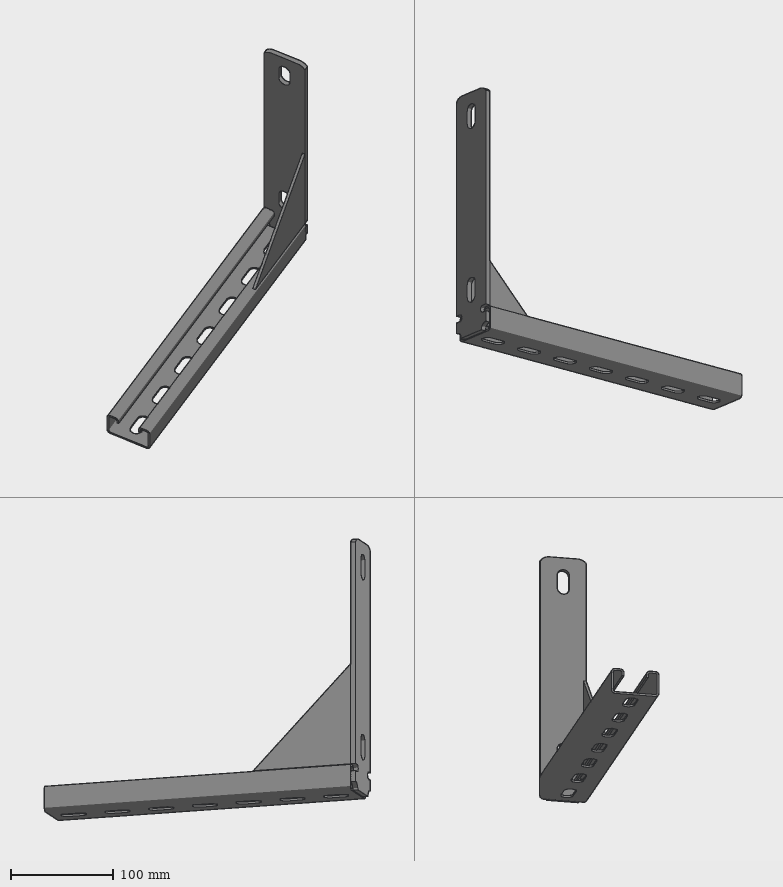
import cadquery as cq
import math

total_length = 320.0
total_height = 252.0

channel_width = 48.0
channel_height = 26.0
wall = 2.0
bend_radius = 4.0
opening_width = 22.0
lip_depth = 6.7

plate_thickness = 5.0
plate_inset = 1.0
top_corner_radius = 11.2
top_corner_width = 9.0
bottom_relief_radius = 7.0
side_notch_width = 7.0
side_notch_depth = 8.3

gusset_leg = 100.0
gusset_thickness = 3.0

slot_length = 25.3
slot_width = 12.0
channel_slot_count = 7
plate_slot_spacing = 180.0
plate_slot_margin = 25.0

channel_length = total_length - plate_thickness
channel_slot_pitch = channel_length / channel_slot_count
half_channel = channel_width / 2
half_opening = opening_width / 2
half_plate = half_channel - plate_inset
inner_bend_radius = bend_radius - wall


def fillet_edge(body, point, radius):
    """Round the one edge whose middle lies at the given point."""
    return body.edges(cq.selectors.NearestToPointSelector(point)).fillet(radius)


def make_channel():
    """Bent C-section with a row of slots through its floor."""
    lip_bottom = channel_height - lip_depth
    lip_outside = half_opening + wall
    inside_x = half_channel - wall
    inside_top = channel_height - wall

    outer_corners = [(half_channel, 0), (half_channel, channel_height), (half_opening, channel_height)]
    inner_corners = [(lip_outside, inside_top), (inside_x, inside_top), (inside_x, wall)]
    lip_end = [(half_opening, lip_bottom), (lip_outside, lip_bottom)]
    right_half = outer_corners + lip_end + inner_corners
    left_half = [(-x, z) for x, z in reversed(right_half)]
    body = cq.Workplane("XZ").polyline(right_half + left_half).close().extrude(-channel_length)

    for corners, radius in ((outer_corners, bend_radius), (inner_corners, inner_bend_radius)):
        for x, z in corners:
            for side in (-1, 1):
                body = fillet_edge(body, (side * x, channel_length / 2, z), radius)

    slots = (
        cq.Workplane("XY", origin=(0, channel_length / 2, 0))
        .rarray(3.2, channel_slot_pitch, 1, channel_slot_count)
        .slot2D(slot_length, slot_width, 90)
        .extrude(wall)
    )
    return body.cut(slots)


def plate_sketch_plane():
    """Workplane on the front face of the plate; extruding by a negative length goes into it."""
    return cq.Workplane("XZ", origin=(0, channel_length, 0))


def make_plate():
    """Upright plate with two slots, rounded top corners and cut-outs beside the channel bends."""
    flat_half = half_plate - top_corner_width
    side_angle = math.asin(top_corner_width / top_corner_radius)
    arc_center_z = total_height - top_corner_radius
    arc_middle = (
        flat_half + top_corner_radius * math.sin(side_angle / 2),
        arc_center_z + top_corner_radius * math.cos(side_angle / 2),
    )
    side_top = arc_center_z + top_corner_radius * math.cos(side_angle)

    body = (
        plate_sketch_plane()
        .moveTo(-half_plate, plate_inset)
        .lineTo(half_plate, plate_inset)
        .lineTo(half_plate, side_top)
        .threePointArc(arc_middle, (flat_half, total_height))
        .lineTo(-flat_half, total_height)
        .threePointArc((-arc_middle[0], arc_middle[1]), (-half_plate, side_top))
        .close()
        .extrude(-plate_thickness)
    )

    upper_slot_z = total_height - plate_slot_margin
    slots = (
        plate_sketch_plane()
        .pushPoints([(0, upper_slot_z), (0, upper_slot_z - plate_slot_spacing)])
        .slot2D(slot_length, slot_width, 90)
        .extrude(-plate_thickness)
    )
    corner_reliefs = (
        plate_sketch_plane()
        .pushPoints([(-half_plate, plate_inset), (half_plate, plate_inset)])
        .circle(bottom_relief_radius)
        .extrude(-plate_thickness)
    )
    notch_z = channel_height - side_notch_width / 2
    side_notches = (
        plate_sketch_plane()
        .pushPoints([(-half_plate, notch_z), (half_plate, notch_z)])
        .slot2D(2 * side_notch_depth, side_notch_width)
        .extrude(-plate_thickness)
    )
    return body.cut(slots).cut(corner_reliefs).cut(side_notches)


def make_gusset():
    """Right triangle standing on the channel, flush with the +X edge of the plate."""
    return (
        cq.Workplane("YZ", origin=(half_plate - gusset_thickness, 0, 0))
        .moveTo(channel_length, channel_height)
        .lineTo(channel_length, channel_height + gusset_leg)
        .lineTo(channel_length - gusset_leg, channel_height)
        .close()
        .extrude(gusset_thickness)
    )


channel = make_channel()
plate = make_plate()
gusset = make_gusset()

result = cq.Compound.makeCompound([channel.val(), plate.val(), gusset.val()])